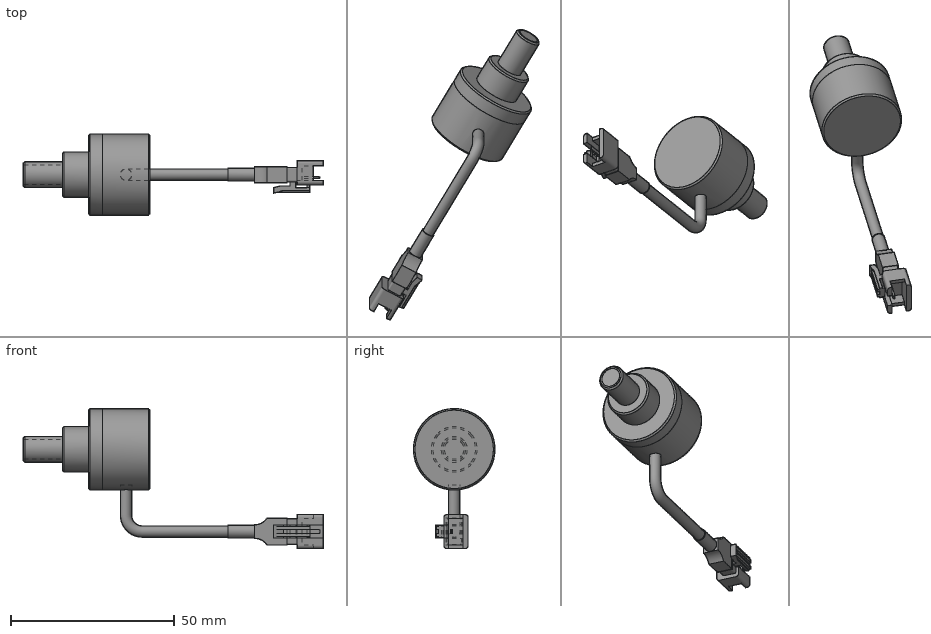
import cadquery as cq
import math

shaft_diameter = 8.0
shaft_length = 12.0
neck_diameter = 14.0
neck_length = 8.0
head_diameter = 25.0
flange_length = 4.3
can_length = 14.5
edge_chamfer = 0.5
core_diameter = 6.0

flange_start = shaft_length + neck_length
can_start = flange_start + flange_length

cable_diameter = 3.5
cable_drop_x = 31.5
cable_run_z = -25.2
cable_bend_radius = 5.0
cable_socket_depth = 1.5
sleeve_diameter = 4.0
sleeve_start = 62.8
cable_top_z = cable_socket_depth - head_diameter / 2

boot_start = 70.84
boot_flare_length = 3.86
boot_length = 10.0
boot_width = 5.0
boot_height = 8.3
boot_entry_height = 4.2
boot_end = boot_start + boot_length

neck_block_width = 4.5
neck_block_height = 8.0
neck_block_fillet = 0.5
plug_start = 83.9
plug_end = 91.91
plug_y_min = -3.2
plug_y_max = 4.3
plug_height = 10.5
plug_fillet = 1.0
cavity_start = 85.4
cavity_y_min = -1.75
cavity_y_max = 2.7
cavity_height = 8.1
window_start = 88.9

pin_end = 90.95
pin_tip_length = 0.5
pin_tip_inset = 0.15
pin_y = -0.9
pin_thickness = 0.6
pin_width = 1.2

latch_width = 3.9
latch_start = 76.7
latch_end = 87.8
latch_thumb_y = -3.95
latch_back_y = -3.4
latch_back_start = 78.8
stem_start = 81.7
stem_end = 83.5
nub_length = 0.9
nub_width = 3.5
latch_front_y = -4.78
lip_y = -5.7
lip_end = 77.75
lip_slope_end = 79.7
rail_y = -5.45
rail_inner_z = 0.6
rail_outer_z = 1.55


def box(x_range, y_range, z_range):
    """Box spanning the given (low, high) limits along X, Y and Z."""
    sizes = [high - low for low, high in (x_range, y_range, z_range)]
    corner = (x_range[0], y_range[0], z_range[0])
    return cq.Workplane("XY").box(*sizes, centered=False).translate(corner)


def about(centre, size):
    """Low and high limits of a span centred on a value."""
    return (centre - size / 2, centre + size / 2)


def x_cylinder(diameter, start, length):
    """Cylinder along +X on the head axis."""
    return cq.Workplane("YZ").workplane(offset=start).circle(diameter / 2).extrude(length)


def make_core():
    """Rod filling the shaft bore, flush with the shaft tip."""
    return x_cylinder(core_diameter, 0, shaft_length)


def make_front_housing(core):
    """Stepped shaft, neck and flange with a chamfer on each front edge, bored for the core."""
    shaft = x_cylinder(shaft_diameter, 0, shaft_length).faces("<X").chamfer(edge_chamfer)
    neck = x_cylinder(neck_diameter, shaft_length, neck_length).faces("<X").chamfer(edge_chamfer)
    flange = x_cylinder(head_diameter, flange_start, flange_length).faces("<X").chamfer(edge_chamfer)
    return shaft.union(neck).union(flange).cut(core)


def make_cable():
    """Round cable swept along an L-shaped path."""
    bend_end_x = cable_drop_x + cable_bend_radius
    bend_start_z = cable_run_z + cable_bend_radius
    bend_middle = (
        bend_end_x - cable_bend_radius * math.cos(math.pi / 4),
        bend_start_z - cable_bend_radius * math.sin(math.pi / 4),
    )
    path = (
        cq.Workplane("XZ")
        .moveTo(cable_drop_x, cable_top_z)
        .lineTo(cable_drop_x, bend_start_z)
        .threePointArc(bend_middle, (bend_end_x, cable_run_z))
        .lineTo(boot_start, cable_run_z)
    )
    section = cq.Workplane("XY", origin=(cable_drop_x, 0, cable_top_z)).circle(cable_diameter / 2)
    return section.sweep(path)


def make_rear_can(cable):
    """Rear part of the head with a blind socket in its underside for the cable."""
    can = x_cylinder(head_diameter, can_start, can_length).faces(">X").chamfer(edge_chamfer)
    return can.cut(cable)


def make_sleeve():
    """Thicker sleeve over the end of the cable."""
    return x_cylinder(sleeve_diameter, sleeve_start, boot_start - sleeve_start).translate((0, 0, cable_run_z))


def make_boot():
    """Boot whose top and bottom flare outwards along concave arcs."""
    entry = boot_entry_height / 2
    full = boot_height / 2
    rise = full - entry
    flare_radius = (boot_flare_length**2 + rise**2) / (2 * rise)
    half_angle = math.asin(boot_flare_length / flare_radius) / 2
    middle_x = boot_start + flare_radius * math.sin(half_angle)
    middle_z = entry + flare_radius * (1 - math.cos(half_angle))
    flare_end = boot_start + boot_flare_length
    return (
        cq.Workplane("XZ", origin=(0, 0, cable_run_z))
        .moveTo(boot_start, entry)
        .threePointArc((middle_x, middle_z), (flare_end, full))
        .lineTo(boot_end, full)
        .lineTo(boot_end, -full)
        .lineTo(flare_end, -full)
        .threePointArc((middle_x, -middle_z), (boot_start, -entry))
        .close()
        .extrude(boot_width / 2, both=True)
    )


def make_plug():
    """Rounded socket, open at the end, with cut-back top and bottom walls and a slot for the latch."""
    neck_block = box(
        (boot_end, plug_start), about(0, neck_block_width), about(cable_run_z, neck_block_height)
    )
    neck_block = neck_block.edges("|X").fillet(neck_block_fillet)
    shell = box((plug_start, plug_end), (plug_y_min, plug_y_max), about(cable_run_z, plug_height))
    shell = shell.edges("|X").fillet(plug_fillet)
    cavity_y = (cavity_y_min, cavity_y_max)
    cavity = box((cavity_start, plug_end), cavity_y, about(cable_run_z, cavity_height))
    window = box((window_start, plug_end), cavity_y, about(cable_run_z, plug_height))
    latch_slot = box((plug_start, plug_end), (plug_y_min, cavity_y_min), about(cable_run_z, latch_width))
    return shell.cut(cavity).cut(window).cut(latch_slot).union(neck_block)


def make_pin():
    """Flat contact pin with a tapered tip."""
    tip_start = pin_end - pin_tip_length
    blade = box((cavity_start, tip_start), about(pin_y, pin_thickness), about(cable_run_z, pin_width))
    tip = (
        cq.Workplane("YZ", origin=(tip_start, pin_y, cable_run_z))
        .rect(pin_thickness, pin_width)
        .workplane(offset=pin_tip_length)
        .rect(pin_thickness - 2 * pin_tip_inset, pin_width - 2 * pin_tip_inset)
        .loft()
    )
    return blade.union(tip)


def make_latch():
    """Lever on a stem, with a thumb lip, a catch nub and two raised rails."""
    stem_root_y = -neck_block_width / 2
    lever = (
        cq.Workplane("XY", origin=(0, 0, cable_run_z))
        .polyline(
            [
                (latch_start, latch_thumb_y),
                (latch_back_start, latch_back_y),
                (stem_start, latch_back_y),
                (stem_start, stem_root_y),
                (stem_end, stem_root_y),
                (stem_end, latch_thumb_y),
                (latch_end, latch_thumb_y),
                (latch_end, latch_front_y),
                (lip_slope_end, latch_front_y),
                (lip_end, rail_y),
                (latch_start, lip_y),
            ]
        )
        .close()
        .extrude(latch_width / 2, both=True)
    )
    nub = box(
        (latch_end - nub_length, latch_end),
        (latch_thumb_y, plug_y_min),
        about(cable_run_z, nub_width),
    )
    lever = lever.union(nub)
    rail_offset = (rail_inner_z + rail_outer_z) / 2
    for side in (-1, 1):
        rail_z = about(cable_run_z + side * rail_offset, rail_outer_z - rail_inner_z)
        lever = lever.union(box((lip_end, latch_end), (rail_y, latch_front_y), rail_z))
    return lever


core = make_core()
front_housing = make_front_housing(core)
cable = make_cable()
rear_can = make_rear_can(cable)

cable_lead = cable
for piece in (make_sleeve(), make_boot(), make_plug(), make_pin(), make_latch()):
    cable_lead = cable_lead.union(piece)

result = cq.Compound.makeCompound(
    [core.val(), front_housing.val(), rear_can.val(), cable_lead.val()]
)